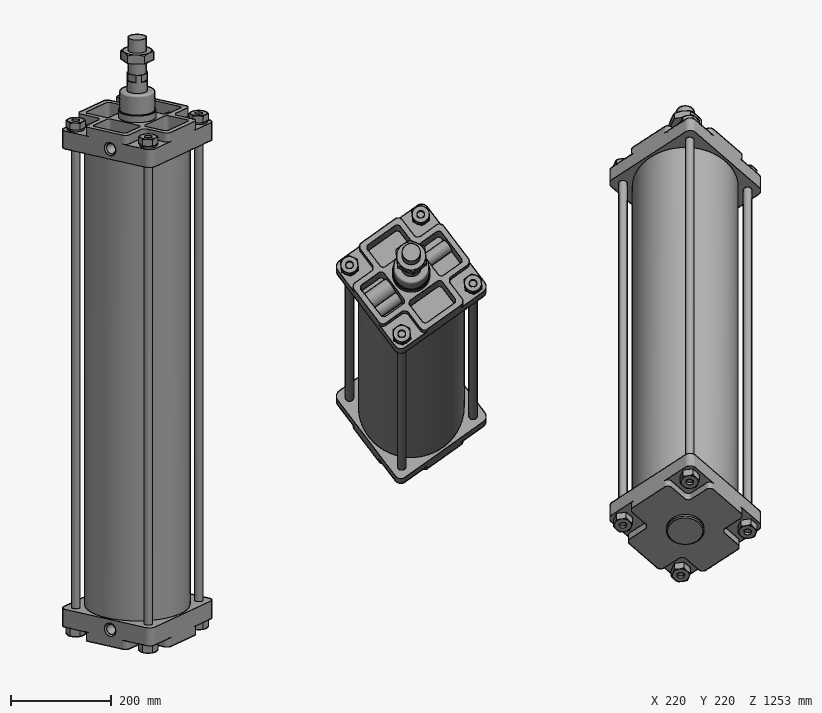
import cadquery as cq
import math

TOTAL_HEIGHT = 1253.0
HEAD_SIDE = 220.0
HEAD_CORNER_RADIUS = 14.0
PLATE_THICKNESS = 38.0
RAISED_HEIGHT = 19.0
ARM_HALF_WIDTH = 51.0
ARM_RADIUS = 10.0

STUB_HEIGHT = 8.0
STUB_CHAMFER = 3.0
REAR_PLATE_Z = STUB_HEIGHT + RAISED_HEIGHT
BARREL_Z = REAR_PLATE_Z + PLATE_THICKNESS
BARREL_TOP = 1030.0
BARREL_DIAMETER = 210.0
FRONT_PLATE_TOP = BARREL_TOP + PLATE_THICKNESS
FRONT_TOP = FRONT_PLATE_TOP + RAISED_HEIGHT

COLLAR_DIAMETER = 75.0
COLLAR_BASE_HEIGHT = 15.0
COLLAR_BASE_CHAMFER = 1.0
BUSH_DIAMETER = 70.0
BUSH_HEIGHT = 40.0
BUSH_ROUNDING = 4.0

POCKET_DEPTH = 46.0
POCKET_INNER = 43.0
POCKET_OUTER = 99.0
POCKET_WIDTH = 80.0
POCKET_CORNER_RADIUS = 8.0

PORT_X = 11.0
PORT_OFFSET = 21.0
PORT_DIAMETER = 21.0
PORT_MOUTH_DIAMETER = 28.0
PORT_DEPTH = 39.0
PORT_BOSS_DIAMETER = 28.0
LARGE_BOSS_DIAMETER = 36.0
SMALL_BOSS_DIAMETER = 28.0
SMALL_BOSS_X = -14.0
SMALL_BOSS_DROP = 6.0

TIE_ROD_OFFSET = 88.0
TIE_ROD_DIAMETER = 18.0
TIE_NUT_FLATS = 34.0
TIE_NUT_RECESS_DIAMETER = 15.0
TIE_NUT_RECESS_DEPTH = 6.0
WASHER_THICKNESS = 4.0

ROD_DIAMETER = 40.0
THREAD_DIAMETER = 36.0
THREAD_LENGTH = 74.0
SQUARE_FLATS = 35.0
SQUARE_LENGTH = 15.0

ROD_NUT_FLATS = 58.0
ROD_NUT_HEIGHT = 19.0
ROD_NUT_TOP_Z = TOTAL_HEIGHT - 28.0

CHAMFER_ANGLE = math.radians(30)


def disc(diameter, z_bottom, z_top):
    """Round bar on the Z axis."""
    base = cq.Workplane("XY", origin=(0, 0, z_bottom))
    return base.circle(diameter / 2).extrude(z_top - z_bottom)


def bar_along_y(diameter, x, z, y_start, y_end):
    """Round bar along Y."""
    base = cq.Workplane("XZ", origin=(x, y_start, z))
    return base.circle(diameter / 2).extrude(y_start - y_end)


def chamfered_hexagon(flats, height):
    """Hexagon standing on z = 0 with corners on the Y axis; a cone takes off its top corners.

    The cone leaves a round end face that just touches the flats.
    """
    corners = flats / math.cos(math.pi / 6)
    hexagon = cq.Workplane("XY").polygon(6, corners).extrude(height)
    hexagon = hexagon.rotate((0, 0, 0), (0, 0, 1), 90)
    drop = (corners - flats) / 2 * math.tan(CHAMFER_ANGLE)
    cone_profile = [
        (0, 0),
        (corners / 2, 0),
        (corners / 2, height - drop),
        (flats / 2, height),
        (0, height),
    ]
    cone = cq.Workplane("XZ").polyline(cone_profile).close().revolve(360, (0, 0), (0, 1))
    return hexagon.intersect(cone)


def head_plate(z_bottom):
    plate = cq.Workplane("XY", origin=(0, 0, z_bottom)).rect(HEAD_SIDE, HEAD_SIDE)
    return plate.extrude(PLATE_THICKNESS).edges("|Z").fillet(HEAD_CORNER_RADIUS)


def head_cross(z_bottom):
    """Cross with full-width arms; the arm tips and the inner corners are rounded."""
    arm_width = 2 * ARM_HALF_WIDTH
    base = cq.Workplane("XY", origin=(0, 0, z_bottom))
    arm_along_x = base.rect(HEAD_SIDE, arm_width).extrude(RAISED_HEIGHT)
    arm_along_y = base.rect(arm_width, HEAD_SIDE).extrude(RAISED_HEIGHT)
    return arm_along_x.union(arm_along_y).edges("|Z").fillet(ARM_RADIUS)


def front_pockets():
    length = POCKET_OUTER - POCKET_INNER
    base = cq.Workplane("XY", origin=(0, 0, FRONT_TOP - POCKET_DEPTH))
    pocket = base.center((POCKET_INNER + POCKET_OUTER) / 2, 0).rect(length, POCKET_WIDTH)
    pocket = pocket.extrude(POCKET_DEPTH).edges("|Z").fillet(POCKET_CORNER_RADIUS)
    pockets = cq.Workplane("XY")
    for angle in (0, 90, 180, 270):
        pockets = pockets.add(pocket.rotate((0, 0, 0), (0, 0, 1), angle))
    return pockets.combine()


def pocket_bosses():
    """Horizontal bosses that lie across the +Y and -Y pockets."""
    axis_z = BARREL_TOP + PORT_OFFSET
    port_boss = bar_along_y(PORT_BOSS_DIAMETER, PORT_X, axis_z, -POCKET_INNER, -POCKET_OUTER)
    large_boss = bar_along_y(LARGE_BOSS_DIAMETER, PORT_X, axis_z, POCKET_OUTER, POCKET_INNER)
    small_z = axis_z - SMALL_BOSS_DROP
    small_boss = bar_along_y(SMALL_BOSS_DIAMETER, SMALL_BOSS_X, small_z, POCKET_OUTER, POCKET_INNER)
    return port_boss.union(large_boss).union(small_boss)


def port(z):
    """Blind port in the -Y face with a chamfered mouth."""
    face_y = -HEAD_SIDE / 2
    chamfer = (PORT_MOUTH_DIAMETER - PORT_DIAMETER) / 2
    profile = [
        (0, 0),
        (PORT_MOUTH_DIAMETER / 2, 0),
        (PORT_DIAMETER / 2, chamfer),
        (PORT_DIAMETER / 2, PORT_DEPTH),
        (0, PORT_DEPTH),
    ]
    hole = cq.Workplane("XY").polyline(profile).close().revolve(360, (0, 0), (0, 1))
    return hole.translate((PORT_X, face_y, z))


def collar():
    """Collar base with a chamfered edge and a slightly narrower rounded bush on top."""
    base_top = FRONT_TOP + COLLAR_BASE_HEIGHT
    base = disc(COLLAR_DIAMETER, FRONT_TOP, base_top)
    base = base.faces(">Z").chamfer(COLLAR_BASE_CHAMFER)
    bush = disc(BUSH_DIAMETER, base_top, base_top + BUSH_HEIGHT).faces(">Z").fillet(BUSH_ROUNDING)
    return base.union(bush)


def rear_stub():
    return disc(COLLAR_DIAMETER, 0, STUB_HEIGHT).faces("<Z").chamfer(STUB_CHAMFER)


def tie_nut(height):
    """Nut standing on z = 0 with a round recess in its end face."""
    nut = chamfered_hexagon(TIE_NUT_FLATS, height)
    return nut.cut(disc(TIE_NUT_RECESS_DIAMETER, height - TIE_NUT_RECESS_DEPTH, height))


def tie_rod():
    """Tie rod on the Z axis with a nut at each end, flush with the outer faces of the crosses."""
    rod = disc(TIE_ROD_DIAMETER, REAR_PLATE_Z, FRONT_PLATE_TOP)
    washer_top = FRONT_PLATE_TOP + WASHER_THICKNESS
    washer = disc(TIE_NUT_FLATS, FRONT_PLATE_TOP, washer_top)
    front_nut = tie_nut(FRONT_TOP - washer_top).translate((0, 0, washer_top))
    rear_nut = tie_nut(RAISED_HEIGHT).mirror("XY").translate((0, 0, REAR_PLATE_Z))
    return rod.union(washer).union(front_nut).union(rear_nut)


def make_cylinder_body(rod):
    body = disc(BARREL_DIAMETER, BARREL_Z, BARREL_TOP)
    body = body.union(head_plate(REAR_PLATE_Z)).union(head_cross(STUB_HEIGHT))
    body = body.union(rear_stub())
    body = body.union(head_plate(BARREL_TOP)).union(head_cross(FRONT_PLATE_TOP))
    body = body.cut(front_pockets()).union(pocket_bosses()).union(collar())
    for port_z in (BARREL_Z - PORT_OFFSET, BARREL_TOP + PORT_OFFSET):
        body = body.cut(port(port_z))
    for x in (-TIE_ROD_OFFSET, TIE_ROD_OFFSET):
        for y in (-TIE_ROD_OFFSET, TIE_ROD_OFFSET):
            body = body.union(tie_rod().translate((x, y, 0)))
    return body.cut(rod)


def make_piston_rod():
    """Rod seated in the front head, with a square section below its threaded end."""
    shoulder_z = TOTAL_HEIGHT - THREAD_LENGTH
    square_z = shoulder_z - SQUARE_LENGTH
    square = cq.Workplane("XY", origin=(0, 0, square_z)).rect(SQUARE_FLATS, SQUARE_FLATS)
    square = square.extrude(SQUARE_LENGTH).intersect(disc(ROD_DIAMETER, square_z, shoulder_z))
    rod = disc(ROD_DIAMETER, BARREL_TOP, square_z).union(square)
    return rod.union(disc(THREAD_DIAMETER, shoulder_z, TOTAL_HEIGHT))


def make_rod_nut(rod):
    nut = chamfered_hexagon(ROD_NUT_FLATS, ROD_NUT_HEIGHT)
    return nut.translate((0, 0, ROD_NUT_TOP_Z - ROD_NUT_HEIGHT)).cut(rod)


piston_rod = make_piston_rod()
rod_nut = make_rod_nut(piston_rod)
cylinder_body = make_cylinder_body(piston_rod)

result = cq.Compound.makeCompound([cylinder_body.val(), piston_rod.val(), rod_nut.val()])